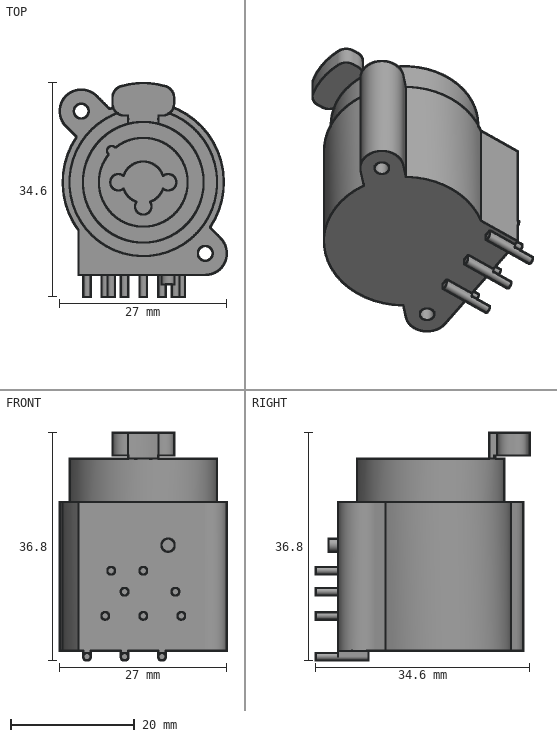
import cadquery as cq
import math


body_height = 24.05
body_radius = 13.03
body_left = -10.5
ear_x = 10.0
ear_y = 11.5
ear_radius = 3.5
ear_hole_radius = 1.18
pin_face_y = -(ear_y + ear_radius)

collar_radius = 11.92
collar_top = 31.05
bore_radius = 9.75
plug_radius = 7.18
key_nub_radius = 0.77
key_nub_angle = math.radians(135)
socket_depth = 11.05
jack_radius = 3.35
contact_radius = 1.32
contact_centers = [(-4.0, 0), (4.0, 0), (0, -3.9)]

latch_bottom = 31.55
latch_top = 35.25
latch_half_width = 5.0
latch_corner_radius = 2.0
latch_front_y = 10.75
latch_upper_corner_y = 13.6
latch_back_y = 16.05
stem_width = 4.85
stem_outer_radius = 10.5

pin_radius = 0.63
pin_end_y = -18.55
upper_row_z = 12.95
middle_row_z = 9.55
lower_row_z = 5.65
pin_centers = [
    (-5.2, upper_row_z),
    (0, upper_row_z),
    (-3.0, middle_row_z),
    (5.2, middle_row_z),
    (-6.15, lower_row_z),
    (0, lower_row_z),
    (6.15, lower_row_z),
]
peg_radius = 1.05
peg_length = 1.5
peg_center = (4.0, 17.08)
ground_pin_x = [-9.1, -3.0, 3.0]
overall_height = 36.8
ground_pin_z = latch_top - overall_height + pin_radius
ground_pin_start_y = -10.0


def cylinder(radius, bottom, top, x=0, y=0):
    """Upright cylinder between two heights."""
    return cq.Workplane("XY").workplane(offset=bottom).center(x, y).circle(radius).extrude(top - bottom)


def rod(radius, x, z, start_y, end_y):
    """Cylinder running from start_y toward -Y."""
    return cq.Workplane("XZ", origin=(x, start_y, z)).circle(radius).extrude(start_y - end_y)


def make_housing():
    """Round housing with a flat pin side and two diagonal mounting ears."""
    housing = cylinder(body_radius, 0, body_height)
    wall_end_y = -math.sqrt(body_radius**2 - body_left**2)
    flat_side = (
        cq.Workplane("XY")
        .moveTo(body_left, pin_face_y)
        .lineTo(ear_x, pin_face_y)
        .lineTo(ear_x, wall_end_y)
        .lineTo(body_left, wall_end_y)
        .close()
        .extrude(body_height)
    )
    housing = housing.union(flat_side)

    ear_centers = [(-ear_x, ear_y), (ear_x, -ear_y)]
    tab_reach = 2 * ear_radius
    tab_shift = tab_reach / 2 * math.cos(math.radians(45))
    for x, y in ear_centers:
        inward_x = math.copysign(tab_shift, -x)
        inward_y = math.copysign(tab_shift, -y)
        tab = (
            cq.Workplane("XY", origin=(x + inward_x, y + inward_y, 0))
            .slot2D(tab_reach + 2 * ear_radius, 2 * ear_radius, -45)
            .extrude(body_height)
        )
        housing = housing.union(tab)
    for x, y in ear_centers:
        housing = housing.cut(cylinder(ear_hole_radius, 0, body_height, x, y))
    return housing


def make_socket_recess():
    """Ring-shaped recess around a keyed plug, and the jack opening in the plug."""
    floor = collar_top - socket_depth
    nub_x = plug_radius * math.cos(key_nub_angle)
    nub_y = plug_radius * math.sin(key_nub_angle)
    plug = cylinder(plug_radius, floor, collar_top)
    plug = plug.union(cylinder(key_nub_radius, floor, collar_top, nub_x, nub_y))
    ring = cylinder(bore_radius, floor, collar_top).cut(plug)
    jack = cylinder(jack_radius, floor, collar_top)
    for x, y in contact_centers:
        jack = jack.union(cylinder(contact_radius, floor, collar_top, x, y))
    return ring.union(jack)


def make_latch():
    """Rounded thumb tab on a curved stem that rises flush with the bore."""
    r = latch_corner_radius
    corner_x = latch_half_width - r
    lower_corner_y = latch_front_y + r
    diagonal = r * math.cos(math.radians(45))

    rise = latch_back_y - latch_upper_corner_y
    back_radius = (corner_x**2 + rise**2 - r**2) / (2 * (rise - r))
    tangent_angle = math.asin(corner_x / (back_radius - r))
    tangent_x = corner_x + r * math.sin(tangent_angle)
    tangent_y = latch_upper_corner_y + r * math.cos(tangent_angle)
    mid_angle = tangent_angle / 2 + math.radians(45)
    mid_x = corner_x + r * math.sin(mid_angle)
    mid_y = latch_upper_corner_y + r * math.cos(mid_angle)

    tab = (
        cq.Workplane("XY")
        .workplane(offset=latch_bottom)
        .moveTo(-corner_x, latch_front_y)
        .lineTo(corner_x, latch_front_y)
        .threePointArc((corner_x + diagonal, lower_corner_y - diagonal), (latch_half_width, lower_corner_y))
        .lineTo(latch_half_width, latch_upper_corner_y)
        .threePointArc((mid_x, mid_y), (tangent_x, tangent_y))
        .threePointArc((0, latch_back_y), (-tangent_x, tangent_y))
        .threePointArc((-mid_x, mid_y), (-latch_half_width, latch_upper_corner_y))
        .lineTo(-latch_half_width, lower_corner_y)
        .threePointArc((-corner_x - diagonal, lower_corner_y - diagonal), (-corner_x, latch_front_y))
        .close()
        .extrude(latch_top - latch_bottom)
    )

    stem_column = cq.Workplane("XY").box(
        stem_width, lower_corner_y, latch_top, centered=(True, False, False)
    )
    stem = stem_column.intersect(cylinder(stem_outer_radius, collar_top, latch_top))
    neck = stem_column.intersect(cylinder(lower_corner_y, latch_bottom, latch_top))
    bore_clearance = cylinder(bore_radius, collar_top, latch_top)
    return tab.union(stem).union(neck).cut(bore_clearance)


def make_pins():
    """Contact pins and locating peg on the flat side, ground pins below it."""
    pins = rod(peg_radius, *peg_center, pin_face_y, pin_face_y - peg_length)
    for x, z in pin_centers:
        pins = pins.union(rod(pin_radius, x, z, pin_face_y, pin_end_y))
    for x in ground_pin_x:
        pins = pins.union(rod(pin_radius, x, ground_pin_z, ground_pin_start_y, pin_end_y))
        web = (
            cq.Workplane("XZ", origin=(x, ground_pin_start_y, ground_pin_z / 2))
            .rect(2 * pin_radius, -ground_pin_z)
            .extrude(ground_pin_start_y - pin_face_y)
        )
        pins = pins.union(web)
    return pins


collar = cylinder(collar_radius, body_height, collar_top)
shell = make_housing().union(collar).cut(make_socket_recess())
result = shell.union(make_latch()).union(make_pins())